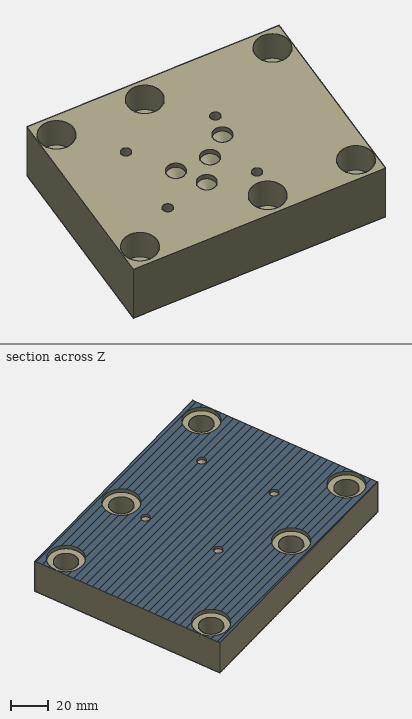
import cadquery as cq
import math

LENGTH_X = 117.5
LENGTH_Y = 152.4
HEIGHT = 38.1

MOUNT_BORE_DIA = 13.4
MOUNT_HEAD_DIA = 20.5
MOUNT_HEAD_DEPTH = HEIGHT / 2
MOUNT_X = 46.0
MOUNT_CORNER_Y = 65.2
MOUNT_MIDDLE_Y = 11.9

DRILL_POINT_ANGLE = 118.0

PORT_DIA = 11.1
PORT_DEPTH = 3.2
PORT_CENTERS = [(-4.0, 11.9), (7.2, -1.7), (22.3, -11.9), (7.2, -22.3)]

TAP_THREAD_DIA = 6.0
TAP_DRILL_DIA = 5.0
TAP_THREAD_DEPTH = 15.2
TAP_DRILL_DEPTH = 18.3
TAP_SPACING_X = 46.0
TAP_SPACING_Y = 54.0
TAP_PATTERN_CENTER = (5.5, -11.9)


def drill_tip_height(radius):
    return radius / math.tan(math.radians(DRILL_POINT_ANGLE / 2))


def revolved_cutter(profile):
    """Revolve (radius, z) points about Z."""
    return cq.Workplane("XZ").polyline(profile).close().revolve(360, (0, 0, 0), (0, 1, 0))


def port_cutter():
    radius = PORT_DIA / 2
    tip_depth = PORT_DEPTH + drill_tip_height(radius)
    return revolved_cutter([(0, 0), (radius, 0), (radius, -PORT_DEPTH), (0, -tip_depth)])


def tapped_hole_cutter():
    thread_radius = TAP_THREAD_DIA / 2
    drill_radius = TAP_DRILL_DIA / 2
    tip_depth = TAP_DRILL_DEPTH + drill_tip_height(drill_radius)
    return revolved_cutter([
        (0, 0),
        (thread_radius, 0),
        (thread_radius, -TAP_THREAD_DEPTH),
        (drill_radius, -TAP_THREAD_DEPTH),
        (drill_radius, -TAP_DRILL_DEPTH),
        (0, -tip_depth),
    ])


result = cq.Workplane("XY").box(LENGTH_X, LENGTH_Y, HEIGHT, centered=(True, True, False))
result = result.translate((0, 0, -HEIGHT))

mount_centers = [(x, y) for x in (-MOUNT_X, MOUNT_X) for y in (-MOUNT_CORNER_Y, MOUNT_CORNER_Y)]
mount_centers += [(-MOUNT_X, -MOUNT_MIDDLE_Y), (MOUNT_X, MOUNT_MIDDLE_Y)]
result = (
    result.faces(">Z").workplane(origin=(0, 0, 0))
    .pushPoints(mount_centers)
    .cboreHole(MOUNT_BORE_DIA, MOUNT_HEAD_DIA, MOUNT_HEAD_DEPTH)
)

port = port_cutter()
for x, y in PORT_CENTERS:
    result = result.cut(port.translate((x, y, 0)))

tapped_hole = tapped_hole_cutter()
pattern_x, pattern_y = TAP_PATTERN_CENTER
for side_x in (-1, 1):
    for side_y in (-1, 1):
        x = pattern_x + side_x * TAP_SPACING_X / 2
        y = pattern_y + side_y * TAP_SPACING_Y / 2
        result = result.cut(tapped_hole.translate((x, y, 0)))